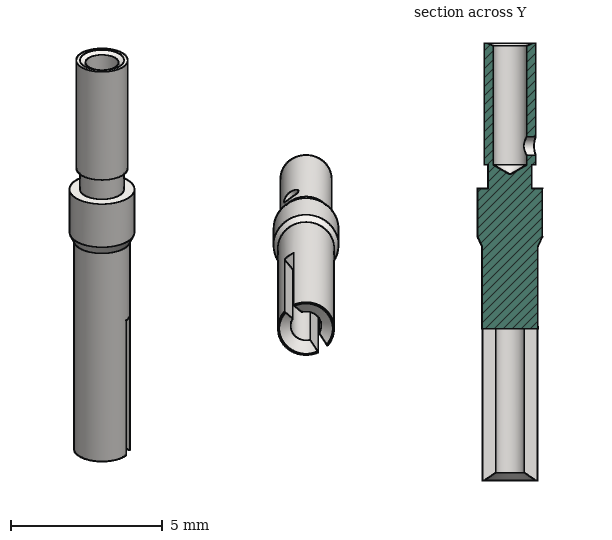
import cadquery as cq

total_length = 14.4

crimp_diameter = 1.7
neck_diameter = 1.45
collar_diameter = 2.15
socket_diameter = 1.86

crimp_length = 4.0
neck_length = 0.78
collar_length = 1.9
collar_taper_length = 0.3

bore_diameter = 1.1
bore_depth = 4.0
bore_mouth_diameter = 1.45
bore_mouth_depth = 0.09
drill_tip_length = 0.32

socket_bore_diameter = 1.01
socket_mouth_diameter = 1.75
socket_mouth_depth = 0.26

inspection_diameter = 0.6
inspection_depth = 3.38
slot_width = 0.37
slot_length = 5.0

crimp_bottom = total_length - crimp_length
collar_top = crimp_bottom - neck_length
collar_bottom = collar_top - collar_length


def turned(profile):
    """Revolve a closed (radius, z) outline about the Z axis."""
    return cq.Workplane("XZ").polyline(profile).close().revolve(360, (0, 0), (0, 1))


def make_body():
    crimp_radius = crimp_diameter / 2
    neck_radius = neck_diameter / 2
    collar_radius = collar_diameter / 2
    socket_radius = socket_diameter / 2
    return turned([
        (0, 0),
        (socket_radius, 0),
        (socket_radius, collar_bottom),
        (collar_radius, collar_bottom + collar_taper_length),
        (collar_radius, collar_top),
        (neck_radius, collar_top),
        (neck_radius, crimp_bottom),
        (crimp_radius, crimp_bottom),
        (crimp_radius, total_length),
        (0, total_length),
    ])


def make_wire_bore():
    """Blind bore with a conical floor and a countersunk mouth."""
    bore_radius = bore_diameter / 2
    bore_bottom = total_length - bore_depth
    return turned([
        (0, bore_bottom - drill_tip_length),
        (bore_radius, bore_bottom),
        (bore_radius, total_length - bore_mouth_depth),
        (bore_mouth_diameter / 2, total_length),
        (0, total_length),
    ])


def make_socket_bore():
    """Flat-ended pin bore with a conical lead-in."""
    bore_radius = socket_bore_diameter / 2
    return turned([
        (0, 0),
        (socket_mouth_diameter / 2, 0),
        (bore_radius, socket_mouth_depth),
        (bore_radius, slot_length),
        (0, slot_length),
    ])


def make_inspection_hole():
    """Radial hole from the -X side into the wire bore."""
    return (
        cq.Workplane("YZ")
        .center(0, total_length - inspection_depth)
        .circle(inspection_diameter / 2)
        .extrude(-crimp_diameter)
    )


def make_socket_slot():
    """Slot along X that splits the socket end into two prongs."""
    return cq.Workplane("XY").box(
        collar_diameter, slot_width, slot_length, centered=(True, True, False)
    )


result = (
    make_body()
    .cut(make_wire_bore())
    .cut(make_socket_bore())
    .cut(make_inspection_hole())
    .cut(make_socket_slot())
)